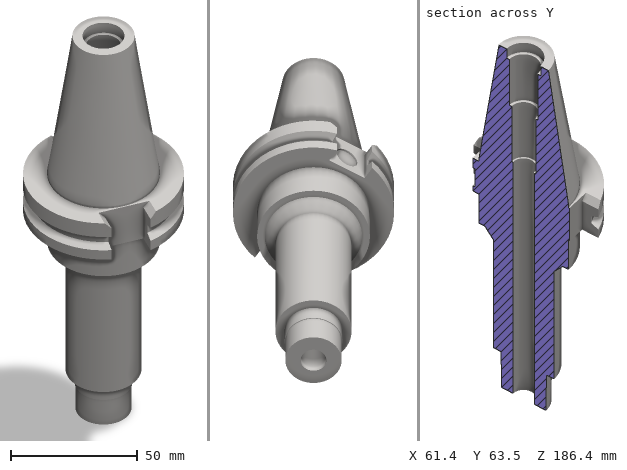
import cadquery as cq


GAUGE_DIAMETER = 44.45
TAPER_LENGTH = 68.25
TAPER_RATIO = 7 / 24
TAPER_END_DIAMETER = GAUGE_DIAMETER - TAPER_LENGTH * TAPER_RATIO

FLANGE_DIAMETER = 63.5
FLANGE_TOP = -0.9
FLANGE_BOTTOM = -19.05
GROOVE_CENTRE = -11.1
GROOVE_MOUTH = 6.7
GROOVE_FLOOR_WIDTH = 3.7
GROOVE_FLOOR_DIAMETER = 56.7

OVERALL_LENGTH = 186.45
COLLAR_BOTTOM = -34.9
CONE_TOP_DIAMETER = 38.4
CONE_BOTTOM = -39.9
BODY_DIAMETER = 30.0
BODY_BOTTOM = -98.8
RING_DIAMETER = 22.8
RING_BOTTOM = -105.6
NOSE_DIAMETER = 22.2
NOSE_BOTTOM = TAPER_LENGTH - OVERALL_LENGTH

SLOT_WIDTH = 16.38
SLOT_FLOOR_LEFT = 25.0
SLOT_FLOOR_RIGHT = 22.7
SLOT_CHAMFER = 2.6

RECESS_DIAMETER = 9.6
RECESS_CENTRE = -11.2
RECESS_DEPTH = 0.8

COUNTERBORE = (16.5, 5.0)
THREAD_BORE = (13.9, 30.0)
COOLANT_BORE = (11.6, 60.0)
THROUGH_DIAMETER = 10.2


def turned_body():
    """Revolve the outside profile about Z."""
    groove_top = GROOVE_CENTRE + GROOVE_MOUTH / 2
    groove_bottom = GROOVE_CENTRE - GROOVE_MOUTH / 2
    floor_top = GROOVE_CENTRE + GROOVE_FLOOR_WIDTH / 2
    floor_bottom = GROOVE_CENTRE - GROOVE_FLOOR_WIDTH / 2
    profile = [
        (0, TAPER_LENGTH),
        (TAPER_END_DIAMETER, TAPER_LENGTH),
        (GAUGE_DIAMETER, 0),
        (GAUGE_DIAMETER, FLANGE_TOP),
        (FLANGE_DIAMETER, FLANGE_TOP),
        (FLANGE_DIAMETER, groove_top),
        (GROOVE_FLOOR_DIAMETER, floor_top),
        (GROOVE_FLOOR_DIAMETER, floor_bottom),
        (FLANGE_DIAMETER, groove_bottom),
        (FLANGE_DIAMETER, FLANGE_BOTTOM),
        (GAUGE_DIAMETER, FLANGE_BOTTOM),
        (GAUGE_DIAMETER, COLLAR_BOTTOM),
        (CONE_TOP_DIAMETER, COLLAR_BOTTOM),
        (BODY_DIAMETER, CONE_BOTTOM),
        (BODY_DIAMETER, BODY_BOTTOM),
        (RING_DIAMETER, BODY_BOTTOM),
        (RING_DIAMETER, RING_BOTTOM),
        (NOSE_DIAMETER, RING_BOTTOM),
        (NOSE_DIAMETER, NOSE_BOTTOM),
        (0, NOSE_BOTTOM),
    ]
    points = [(diameter / 2, z) for diameter, z in profile]
    return cq.Workplane("XZ").polyline(points).close().revolve(360, (0, 0), (0, 1))


def slot_cutter(floor_x, side):
    """Drive slot outward from floor_x on the given side of X, flared by chamfered upper edges."""
    half_width = SLOT_WIDTH / 2
    flared = half_width + SLOT_CHAMFER
    chamfer_start = FLANGE_TOP - SLOT_CHAMFER
    return (
        cq.Workplane("YZ", origin=(side * floor_x, 0, 0))
        .moveTo(-half_width, FLANGE_BOTTOM)
        .lineTo(half_width, FLANGE_BOTTOM)
        .lineTo(half_width, chamfer_start)
        .lineTo(flared, FLANGE_TOP)
        .lineTo(-flared, FLANGE_TOP)
        .lineTo(-half_width, chamfer_start)
        .close()
        .extrude(side * FLANGE_DIAMETER / 2)
    )


def slot_recess():
    """Shallow round recess running inward from the floor of the -X slot."""
    return (
        cq.Workplane("YZ", origin=(-SLOT_FLOOR_LEFT, 0, RECESS_CENTRE))
        .circle(RECESS_DIAMETER / 2)
        .extrude(RECESS_DEPTH)
    )


def stepped_bore():
    """Through bore along Z with wider steps opening at the small end of the taper."""
    top = cq.Workplane("XY", origin=(0, 0, TAPER_LENGTH))
    bore = top.circle(THROUGH_DIAMETER / 2).extrude(NOSE_BOTTOM - TAPER_LENGTH)
    for diameter, depth in (COUNTERBORE, THREAD_BORE, COOLANT_BORE):
        bore = bore.union(top.circle(diameter / 2).extrude(-depth))
    return bore


result = (
    turned_body()
    .cut(slot_cutter(SLOT_FLOOR_LEFT, -1))
    .cut(slot_cutter(SLOT_FLOOR_RIGHT, 1))
    .cut(slot_recess())
    .cut(stepped_bore())
)